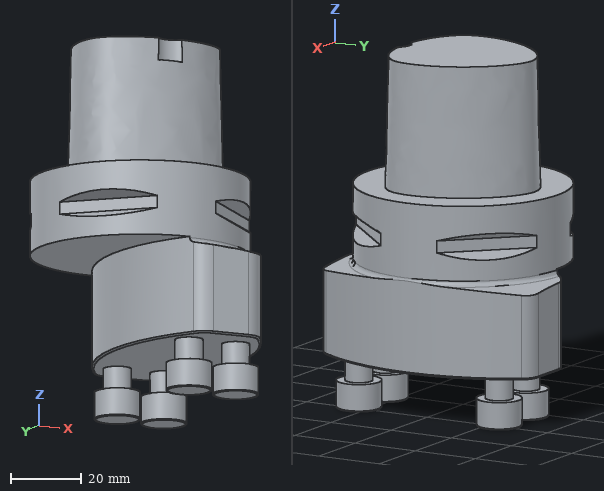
import cadquery as cq
import math

total_height = 102.7
overall_length_x = 63.2
flange_top = 64.6
flange_bottom = 43.0
block_bottom = 14.8
head_height = 8.0

flange_radius = 63.0 / 2
slot_floor_distance = 27.8
slot_floor_height = 3.5
slot_mid_height = 52.6
slot_flank_angle = 30.0

lobe_mean_radius = 22.2
lobe_amplitude = 1.5
shank_inset = 0.9
outline_steps = 36
notch_radius = 4.9
notch_depth = 6.5
notch_bottom_y = -17.9

block_min_x = -8.6
block_max_x = overall_length_x - flange_radius
block_half_width = 35.2
block_side_radius = 59.6
block_corner_radius = 6.0
block_edge_chamfer = 0.5
block_top_slope = 15.0
shoulder_height = 41.6
neck_fillet = 1.5

screw_positions = [(x, y) for x in (4.1, 18.9) for y in (-23.3, 23.3)]
head_diameter = 13.0
screw_diameter = 8.0
head_chamfer = 0.3

overlap = 1.0


def make_flange():
    """Disc with a trapezoidal straight groove on each diagonal."""
    flange = (
        cq.Workplane("XY")
        .workplane(offset=flange_bottom)
        .circle(flange_radius)
        .extrude(flange_top - flange_bottom)
    )
    outer = flange_radius + overlap
    floor_half = slot_floor_height / 2
    mouth_half = floor_half + (outer - slot_floor_distance) * math.tan(math.radians(slot_flank_angle))
    groove = (
        cq.Workplane("XZ")
        .polyline([
            (slot_floor_distance, slot_mid_height - floor_half),
            (outer, slot_mid_height - mouth_half),
            (outer, slot_mid_height + mouth_half),
            (slot_floor_distance, slot_mid_height + floor_half),
        ])
        .close()
        .extrude(flange_radius, both=True)
    )
    for angle in (45, 135, 225, 315):
        flange = flange.cut(groove.rotate((0, 0, 0), (0, 0, 1), angle))
    return flange


def lobed_outline(mean_radius):
    """Points of the curve whose distance to its tangent is mean + amplitude * cos(3 * turn)."""
    points = []
    for step in range(outline_steps):
        turn = 2 * math.pi * step / outline_steps
        support = mean_radius + lobe_amplitude * math.cos(3 * turn)
        slide = 3 * lobe_amplitude * math.sin(3 * turn)
        along = support * math.cos(turn) + slide * math.sin(turn)
        across = support * math.sin(turn) - slide * math.cos(turn)
        points.append((-across, along))
    return points


def make_shank():
    """Tapered lobed shank with a round-bottomed key notch on its -Y side."""
    shank = (
        cq.Workplane("XY")
        .workplane(offset=flange_top)
        .spline(lobed_outline(lobe_mean_radius), periodic=True, makeWire=True)
        .workplane(offset=total_height - flange_top)
        .spline(lobed_outline(lobe_mean_radius - shank_inset), periodic=True, makeWire=True)
        .loft(ruled=True)
    )
    notch = (
        cq.Workplane("XY")
        .workplane(offset=total_height - notch_depth)
        .center(0, notch_bottom_y - notch_radius)
        .circle(notch_radius)
        .extrude(notch_depth + overlap)
    )
    return shank.cut(notch)


def make_block():
    """Lens with flattened, rounded ends, topped by a cone that blends into the flange."""
    bulge = block_side_radius - math.sqrt(block_side_radius**2 - block_half_width**2)
    left_x = block_min_x + bulge
    right_x = block_max_x - bulge
    lens = (
        cq.Workplane("XY")
        .workplane(offset=block_bottom)
        .moveTo(left_x, -block_half_width)
        .lineTo(right_x, -block_half_width)
        .threePointArc((block_max_x, 0), (right_x, block_half_width))
        .lineTo(left_x, block_half_width)
        .threePointArc((block_min_x, 0), (left_x, -block_half_width))
        .close()
        .extrude(flange_bottom - block_bottom)
        .edges("|Z")
        .fillet(block_corner_radius)
        .faces("<Z")
        .chamfer(block_edge_chamfer)
    )

    slope = math.radians(block_top_slope)
    blend_length = neck_fillet * math.tan((math.pi / 2 - slope) / 2)
    blend_top = shoulder_height + blend_length
    blend_center_x = flange_radius + neck_fillet
    blend_end = (
        flange_radius + blend_length * math.cos(slope),
        shoulder_height - blend_length * math.sin(slope),
    )
    middle_angle = (math.pi + 1.5 * math.pi - slope) / 2
    blend_middle = (
        blend_center_x + neck_fillet * math.cos(middle_angle),
        blend_top + neck_fillet * math.sin(middle_angle),
    )
    rim_radius = block_half_width + block_corner_radius + overlap
    rim_height = shoulder_height - (rim_radius - flange_radius) * math.tan(slope)
    envelope = (
        cq.Workplane("XZ")
        .moveTo(0, block_bottom)
        .lineTo(0, flange_bottom)
        .lineTo(flange_radius, flange_bottom)
        .lineTo(flange_radius, blend_top)
        .threePointArc(blend_middle, blend_end)
        .lineTo(rim_radius, rim_height)
        .lineTo(rim_radius, block_bottom)
        .close()
        .revolve(360, (0, 0, 0), (0, 1, 0))
    )
    return lens.intersect(envelope)


def make_screws():
    """Four cap screws hanging from the underside of the block."""
    heads = (
        cq.Workplane("XY")
        .pushPoints(screw_positions)
        .circle(head_diameter / 2)
        .extrude(head_height)
        .faces("<Z")
        .chamfer(head_chamfer)
    )
    shanks = (
        cq.Workplane("XY")
        .workplane(offset=head_height)
        .pushPoints(screw_positions)
        .circle(screw_diameter / 2)
        .extrude(block_bottom + overlap - head_height)
    )
    return heads.union(shanks)


result = make_flange().union(make_shank()).union(make_block()).union(make_screws())